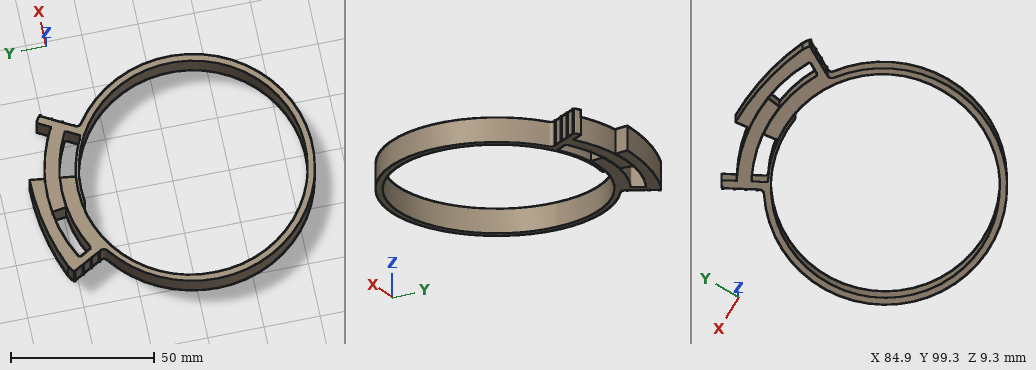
import cadquery as cq
import math


height = 9.3
overall_length = 99.3
overall_width = 84.9

ring_outer = overall_width / 2
ring_inner = 39.9

left_bore_shift = 1.2
left_back_shift = 1.8

clearance = 0.1
tongue_outer = 41.0
arm_gap_radius = 46.7
band_gap_radius = 51.9
finger_tip = 57.2
left_arm_outer = arm_gap_radius - clearance / 2
right_arm_inner = arm_gap_radius + clearance / 2
right_arm_outer = band_gap_radius - clearance / 2
left_band_inner = band_gap_radius + clearance / 2

band_back_radius = 86.9
band_back_x = 5.8
band_back_y = overall_length - ring_outer - band_back_radius

arm_end = 7.0
tongue_end = 7.8
wall_inside = 28.6
wall_foot = 32.4
wall_tip = 31.5

rib_radius = 0.3
rib_count = 4
rib_last = 56.7
left_rib_first = 45.5
right_rib_first = 44.6

neck_fillet = 1.7
slot_fillet = 0.6
tip_fillet = 0.4
outer_corner_fillet = 1.0


def polar(radius, angle):
    """Point at a radius and a clockwise angle from +Y."""
    turn = math.radians(angle)
    return (radius * math.sin(turn), radius * math.cos(turn))


def sector(inner, outer, start, end):
    """Ring segment about the ring axis, from start to end angle."""
    middle = (start + end) / 2
    return (
        cq.Workplane("XY")
        .moveTo(*polar(inner, start))
        .lineTo(*polar(outer, start))
        .threePointArc(polar(outer, middle), polar(outer, end))
        .lineTo(*polar(inner, end))
        .threePointArc(polar(inner, middle), polar(inner, start))
        .close()
        .extrude(height)
    )


def end_wall(inner, outer, side):
    """Slightly tapering wall closing the arms; side is -1 for left, 1 for right."""
    corners = [
        polar(inner, side * wall_inside),
        polar(outer, side * wall_inside),
        polar(outer, side * wall_tip),
        polar(ring_outer, side * wall_foot),
        polar(inner, side * wall_foot),
    ]
    return cq.Workplane("XY").polyline(corners).close().extrude(height)


def disc(x, y, radius):
    return cq.Workplane("XY").center(x, y).circle(radius).extrude(height)


def round_corner(body, radius, angle, fillet):
    """Fillet the upright edge nearest to a polar position."""
    x, y = polar(radius, angle)
    nearest = cq.selectors.NearestToPointSelector((x, y, height / 2))
    return body.edges("|Z").edges(nearest).fillet(fillet)


def grip_ribs(first, side):
    """Row of small round ribs along the outer face of an end wall."""
    foot_x, foot_y = polar(ring_outer, side * wall_foot)
    tip_x, tip_y = polar(finger_tip, side * wall_tip)
    places = []
    for i in range(rib_count):
        radius = first + i * (rib_last - first) / (rib_count - 1)
        along = (radius - ring_outer) / (finger_tip - ring_outer)
        places.append((foot_x + along * (tip_x - foot_x), foot_y + along * (tip_y - foot_y)))
    return cq.Workplane("XY").pushPoints(places).circle(rib_radius).extrude(height)


def left_hook():
    """Left quarter of the ring with its lower arm, end wall and outer band."""
    beyond_tip = finger_tip + outer_corner_fillet
    back = disc(left_back_shift, 0, ring_outer + left_back_shift)
    quarter = back.intersect(sector(ring_inner / 2, beyond_tip, -90, -wall_inside))
    arm = sector(ring_inner / 2, left_arm_outer, -wall_inside, arm_end)
    wall = end_wall(ring_inner / 2, finger_tip, -1)
    band = sector(left_band_inner, beyond_tip, -wall_inside, arm_end)
    band_back = disc(band_back_x, band_back_y, band_back_radius)
    hook = quarter.union(arm).union(wall.union(band).intersect(band_back))
    hook = hook.cut(disc(0, left_bore_shift, ring_inner)).cut(disc(0, 0, ring_inner))
    hook = round_corner(hook, ring_outer + 1, -wall_foot, neck_fillet)
    hook = round_corner(hook, left_arm_outer, -wall_inside, slot_fillet)
    hook = round_corner(hook, left_band_inner, -wall_inside, slot_fillet)
    hook = round_corner(hook, finger_tip, -wall_tip, outer_corner_fillet)
    hook = round_corner(hook, tongue_outer, arm_end, tip_fillet)
    return hook.union(grip_ribs(left_rib_first, -1))


def right_hook():
    """Rest of the ring with the tongue, end wall, finger and upper arm."""
    ring = sector(ring_inner / 2, ring_outer, wall_inside, 270)
    tongue = sector(ring_inner / 2, tongue_outer, -tongue_end, wall_inside)
    wall = end_wall(ring_inner / 2, finger_tip, 1)
    arm = sector(right_arm_inner, right_arm_outer, -arm_end, wall_inside)
    hook = ring.union(tongue).union(wall).union(arm)
    hook = hook.cut(disc(0, 0, ring_inner))
    hook = round_corner(hook, ring_outer, wall_foot, neck_fillet)
    hook = round_corner(hook, tongue_outer, wall_inside, slot_fillet)
    hook = round_corner(hook, right_arm_inner, wall_inside, slot_fillet)
    hook = round_corner(hook, finger_tip, wall_tip, outer_corner_fillet)
    hook = round_corner(hook, finger_tip, wall_inside, tip_fillet)
    hook = round_corner(hook, ring_inner, -tongue_end, tip_fillet)
    hook = round_corner(hook, right_arm_inner, -arm_end, tip_fillet)
    return hook.union(grip_ribs(right_rib_first, 1))


result = right_hook().union(left_hook())